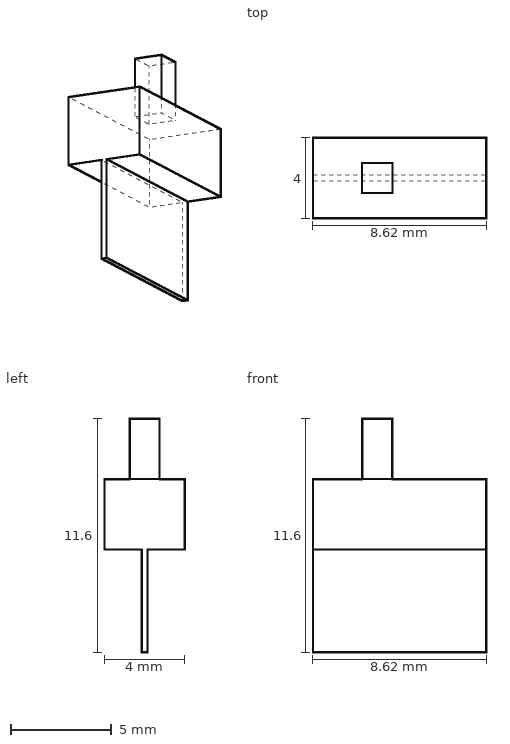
import cadquery as cq

total_height = 11.6

body_length = 8.62
body_width = 4.0
body_height = 3.5

knob_side = 1.5
knob_height = 3.0
knob_offset_x = -1.11

plate_thickness = 0.3
plate_height = total_height - body_height - knob_height


def block(length, width, height, base_z, center_x=0):
    """Box centred on Y, with its underside at base_z."""
    return (
        cq.Workplane("XY")
        .box(length, width, height, centered=(True, True, False))
        .translate((center_x, 0, base_z))
    )


body = block(body_length, body_width, body_height, 0)
knob = block(knob_side, knob_side, knob_height, body_height, knob_offset_x)
plate = block(body_length, plate_thickness, plate_height, -plate_height)

result = body.union(knob).union(plate)